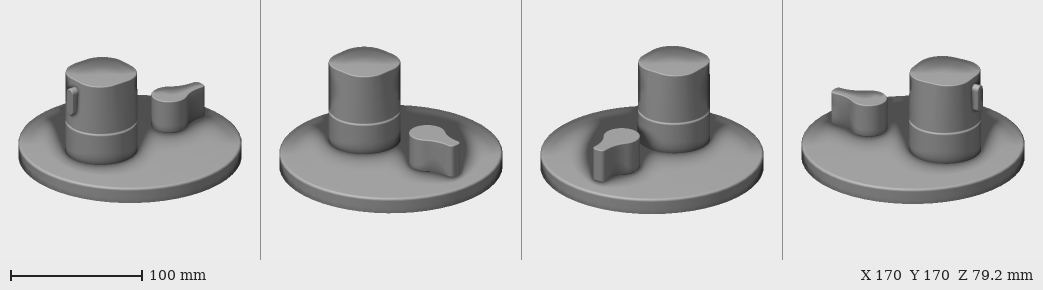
import cadquery as cq
import math

plate_radius = 85.0
rim_height = 10.2
rim_round = 2.0
dome_top = 13.8

knob_y = -27.9
base_radius = 27.5
base_top = 38.6
base_round = 1.5
spindle_radius = 22.5
grip_bottom = 39.6
crown_edge_height = 78.4
grip_top = 79.2
grip_bottom_radius = 27.5
grip_half_width = 24.8
grip_corner_radius = 19.0
grip_edge_round = 0.8
crown_radius = 30.6

mark_width = 7.6
mark_length = 22.1
mark_z = 62.0
mark_front_y = -59.0
mark_round = 0.8

lever_y = 38.5
lever_radius = 14.0
lever_tip_y = 69.7
lever_tip_half_width = 5.5
lever_tip_round = 3.4
lever_blend_radius = 28.0
lever_bottom = 14.8
lever_top = 40.6
lever_edge_round = 0.8
lever_disc_radius = 12.2

embed = 1.7


def cylinder(radius, bottom, top, y):
    return cq.Workplane("XY", origin=(0, y, bottom)).circle(radius).extrude(top - bottom)


def dome_solid(radius, edge_z, top_z, bottom_z):
    """Solid of revolution with a shallow spherical top."""
    rise = top_z - edge_z
    sphere_radius = (radius**2 + rise**2) / (2 * rise)
    mid_z = top_z - sphere_radius + math.sqrt(sphere_radius**2 - (radius / 2) ** 2)
    return (
        cq.Workplane("XZ")
        .moveTo(0, bottom_z)
        .lineTo(radius, bottom_z)
        .lineTo(radius, edge_z)
        .threePointArc((radius / 2, mid_z), (0, top_z))
        .close()
        .revolve(360, (0, 0, 0), (0, 1, 0))
    )


def make_plate():
    rim_top = rim_height + rim_round
    disc = cylinder(plate_radius, 0, rim_top, 0).faces(">Z").edges().fillet(rim_round)
    return disc.union(dome_solid(plate_radius - rim_round, rim_top, dome_top, rim_top - embed))


def make_grip():
    """Loft from a circle to a rounded square, cut on top by a shallow sphere."""
    flat_half = grip_half_width - grip_corner_radius
    angle = math.atan2(flat_half, grip_half_width)
    circle_long = grip_bottom_radius * math.cos(angle)
    circle_short = grip_bottom_radius * math.sin(angle)
    circle_diagonal = grip_bottom_radius * math.sqrt(0.5)
    square_diagonal = flat_half + grip_corner_radius * math.sqrt(0.5)

    def ring(long, short, diagonal, side_middle, z):
        """Closed wire of four sides, bowed or flat, and four corner arcs."""
        edges = []
        for quarter in range(4):
            turn = math.radians(90 * quarter)

            def place(x, y):
                return cq.Vector(
                    x * math.cos(turn) - y * math.sin(turn),
                    knob_y + x * math.sin(turn) + y * math.cos(turn),
                    z,
                )

            start, end = place(long, -short), place(long, short)
            if side_middle > long:
                edges.append(cq.Edge.makeThreePointArc(start, place(side_middle, 0), end))
            else:
                edges.append(cq.Edge.makeLine(start, end))
            edges.append(cq.Edge.makeThreePointArc(end, place(diagonal, diagonal), place(short, long)))
        return cq.Wire.assembleEdges(edges)

    lower = ring(circle_long, circle_short, circle_diagonal, grip_bottom_radius, grip_bottom)
    upper = ring(grip_half_width, flat_half, square_diagonal, grip_half_width, grip_top)
    body = cq.Workplane(cq.Solid.makeLoft([lower, upper], True))
    crown = dome_solid(crown_radius, crown_edge_height, grip_top, grip_bottom)
    body = body.intersect(crown.translate((0, knob_y, 0)))
    return body.faces(">Z").edges().fillet(grip_edge_round)


def make_mark():
    """Upright rounded bar running from inside the grip to its front face."""
    depth = knob_y - grip_half_width + embed - mark_front_y
    return (
        cq.Workplane("XZ", origin=(0, mark_front_y + depth, mark_z))
        .slot2D(mark_length, mark_width, 90)
        .extrude(depth)
        .faces("<Y")
        .edges()
        .fillet(mark_round)
    )


def make_knob():
    base = cylinder(base_radius, rim_height, base_top, knob_y)
    base = base.faces(">Z").edges().fillet(base_round)
    spindle = cylinder(spindle_radius, base_top - embed, grip_bottom + embed, knob_y)
    return base.union(spindle).union(make_grip()).union(make_mark())


def make_lever():
    """Teardrop whose hollow flanks are tangent to the round end and the straight tip."""
    blend_x = lever_tip_half_width + lever_blend_radius
    centre_gap = lever_radius + lever_blend_radius
    blend_rise = math.sqrt(centre_gap**2 - blend_x**2)
    blend_y = lever_y + blend_rise
    tangent_x = lever_radius * blend_x / centre_gap
    tangent_y = lever_y + lever_radius * blend_rise / centre_gap
    half_angle = math.atan2(blend_rise, blend_x) / 2
    middle_x = blend_x - lever_blend_radius * math.cos(half_angle)
    middle_y = blend_y - lever_blend_radius * math.sin(half_angle)

    lever = (
        cq.Workplane("XY", origin=(0, 0, lever_bottom))
        .moveTo(-lever_tip_half_width, lever_tip_y)
        .lineTo(-lever_tip_half_width, blend_y)
        .threePointArc((-middle_x, middle_y), (-tangent_x, tangent_y))
        .threePointArc((0, lever_y - lever_radius), (tangent_x, tangent_y))
        .threePointArc((middle_x, middle_y), (lever_tip_half_width, blend_y))
        .lineTo(lever_tip_half_width, lever_tip_y)
        .close()
        .extrude(lever_top - lever_bottom)
    )
    lever = lever.edges("|Z and >Y").fillet(lever_tip_round)
    lever = lever.faces(">Z").edges().fillet(lever_edge_round)
    disc = cylinder(lever_disc_radius, rim_height, lever_bottom + embed, lever_y)
    return lever.union(disc)


result = make_plate().union(make_knob()).union(make_lever())